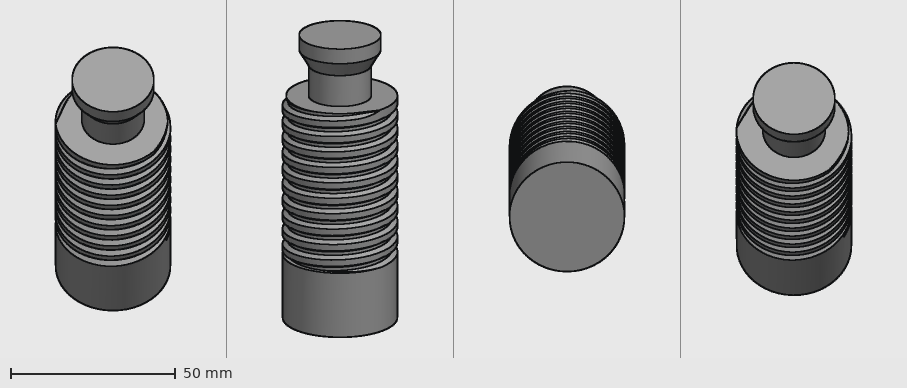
import cadquery as cq
import math

total_height = 91.5
body_radius = 17.5
core_radius = 15.8
shoulder_z = 20.8
body_top_z = 71.8

neck_radius = 9.5
head_radius = 12.45
head_cone_z = 81.8
head_rim_z = 86.8

thread_rise = 55.0
turns = 11
pitch = thread_rise / turns
root_width = 1.1
mouth_width = 2.9
cutter_radius = 18.8

fade_start_angle = -25
fade_end_angle = 180
fade_start_radius = 16.8
fade_steps = 5
fade_depth = 2.2


def upper_blank():
    """Body above the shoulder and headed stud as one turned profile."""
    return (
        cq.Workplane("YZ")
        .moveTo(0, shoulder_z)
        .lineTo(body_radius, shoulder_z)
        .lineTo(body_radius, body_top_z)
        .lineTo(neck_radius, body_top_z)
        .lineTo(neck_radius, head_cone_z)
        .lineTo(head_radius, head_rim_z)
        .lineTo(head_radius, total_height)
        .lineTo(0, total_height)
        .close()
        .revolve(360, (0, 0, 0), (0, 1, 0))
    )


def groove_profile(center_z):
    """Trapezoid on the -X side, widening outwards past the body surface."""
    flank_slope = (mouth_width - root_width) / 2 / (body_radius - core_radius)
    half_root = root_width / 2
    half_outer = half_root + flank_slope * (cutter_radius - core_radius)
    return cq.Workplane("XZ").polyline([
        (-core_radius, center_z - half_root),
        (-cutter_radius, center_z - half_outer),
        (-cutter_radius, center_z + half_outer),
        (-core_radius, center_z + half_root),
    ]).close()


def groove_turn(start_z):
    """One full turn of the helical groove, starting and ending at -X."""
    helix = cq.Wire.makeHelix(pitch, pitch, core_radius)
    helix = helix.rotate(cq.Vector(0, 0, 0), cq.Vector(0, 0, 1), 180)
    helix = helix.translate(cq.Vector(0, 0, start_z))
    return groove_profile(start_z).sweep(cq.Workplane(obj=helix), isFrenet=True)


def groove_exit():
    """Straight run-out that continues the helix along its tangent towards -Y."""
    exit_rise = pitch * body_radius / (2 * math.pi * core_radius)
    exit_path = cq.Workplane("YZ", origin=(-core_radius, 0, 0)).moveTo(0, body_top_z)
    exit_path = exit_path.lineTo(-body_radius, body_top_z + exit_rise)
    return groove_profile(body_top_z).sweep(exit_path)


def fade_point(angle):
    """Point on the fading edge of the last ridge."""
    if angle <= fade_start_angle:
        radius = body_radius
    else:
        fraction = (angle - fade_start_angle) / (fade_end_angle - fade_start_angle)
        radius = fade_start_radius + fraction * (core_radius - fade_start_radius)
    return polar(radius, angle)


def polar(radius, angle):
    turn = math.radians(angle)
    return (radius * math.cos(turn), radius * math.sin(turn))


def fade_cut(first, last):
    """Sector outside the fading edge, with its floor following the groove."""
    middle = (first + last) / 2
    depth = fade_depth - pitch * max(first, 0) / 360
    return (
        cq.Workplane("XY", origin=(0, 0, body_top_z))
        .moveTo(*fade_point(first))
        .threePointArc(fade_point(middle), fade_point(last))
        .lineTo(*polar(cutter_radius, last))
        .threePointArc(polar(cutter_radius, middle), polar(cutter_radius, first))
        .close()
        .extrude(-depth)
    )


result = upper_blank()
for turn_number in range(turns):
    result = result.cut(groove_turn(body_top_z - (turn_number + 1) * pitch))
result = result.cut(groove_exit())

fade_span = (fade_end_angle - fade_start_angle) / fade_steps
for step in range(fade_steps):
    first_angle = fade_start_angle + step * fade_span
    result = result.cut(fade_cut(first_angle, first_angle + fade_span))

result = result.union(cq.Workplane("XY").circle(body_radius).extrude(shoulder_z))